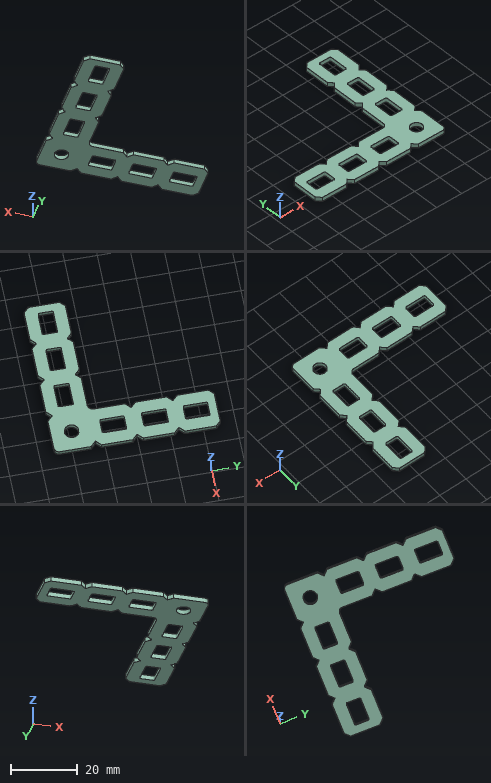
import cadquery as cq

cell = 12.7
cells_per_arm = 4
thickness = 1.6
corner_cut = 1.6
elbow_radius = 1.6
window_length = 7.35
window_width = 4.55
window_radius = 0.4
hole_diameter = 4.25

length = cells_per_arm * cell
arm_inner_x = length - cell
hole_center = (length - cell / 2, cell / 2)


def diamond_cutter(points, leg):
    """Square prisms turned on edge, cutting 45 degree corners with the given leg."""
    return (
        cq.Workplane("XY")
        .pushPoints(points)
        .polygon(4, 2 * leg)
        .extrude(thickness)
    )


def window_cutter(points, size_x, size_y):
    """Rectangular windows with rounded corners."""
    return (
        cq.Workplane("XY")
        .pushPoints(points)
        .rect(size_x, size_y)
        .extrude(thickness)
        .edges("|Z")
        .fillet(window_radius)
    )


plate = (
    cq.Workplane("XY")
    .moveTo(0, 0)
    .lineTo(length, 0)
    .lineTo(length, length)
    .lineTo(arm_inner_x, length)
    .lineTo(arm_inner_x, cell)
    .lineTo(0, cell)
    .close()
    .extrude(thickness)
)
plate = plate.edges("|Z and >X and <Y").fillet(elbow_radius)

inner_elbow = cq.NearestToPointSelector((arm_inner_x, cell, thickness / 2))
plate = plate.edges(inner_elbow).fillet(elbow_radius)

notch_points = []
window_points_x = []
window_points_y = []
for i in range(cells_per_arm - 1):
    step = i * cell
    notch_points += [(step, 0), (step, cell)]
    notch_points += [(arm_inner_x, length - step), (length, length - step)]
    window_points_x.append((step + cell / 2, cell / 2))
    window_points_y.append((length - cell / 2, length - step - cell / 2))
notch_points += [(arm_inner_x, 0), (length, cell)]
plate = plate.cut(diamond_cutter(notch_points, corner_cut))

plate = plate.cut(window_cutter(window_points_x, window_length, window_width))
plate = plate.cut(window_cutter(window_points_y, window_width, window_length))
hole = cq.Workplane("XY").center(*hole_center).circle(hole_diameter / 2).extrude(thickness)

result = plate.cut(hole)